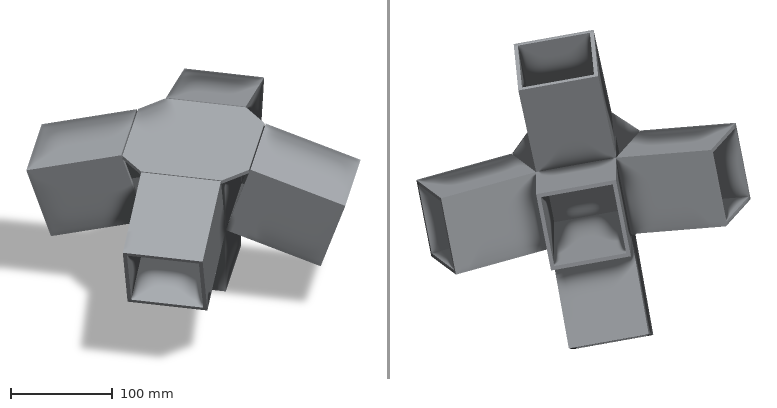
import cadquery as cq
import math

overall_height = 150.0
tube_side = 80.0
wall = 4.0
plate_thickness = 4.0
plate_width = 147.0
arm_length = 100.0
arm_droop = 18
first_arm_angle = 45
arm_count = 4

droop = math.radians(arm_droop)
post_bottom = -overall_height
post_height = overall_height - plate_thickness
arm_top_radius = tube_side / 2 + tube_side * math.sin(droop)
plate_edge_radius = arm_top_radius - plate_thickness * math.tan(droop)


def square_tube(length):
    """Square tube along +Z, standing on Z = 0."""
    bore = tube_side - 2 * wall
    return cq.Workplane("XY").rect(tube_side, tube_side).rect(bore, bore).extrude(length)


def make_post():
    """Vertical tube under the plate, with one flat face toward each arm."""
    return (
        square_tube(post_height)
        .rotate((0, 0, 0), (0, 0, 1), first_arm_angle)
        .translate((0, 0, post_bottom))
    )


def make_arm(angle):
    """Drooping tube whose lower inner edge rests on a face of the post."""
    tube = square_tube(arm_length).rotate((0, 0, 0), (0, 1, 0), 90)
    top_edge_at_origin = tube.translate((0, 0, -tube_side / 2))
    return (
        top_edge_at_origin
        .rotate((0, 0, 0), (0, 1, 0), arm_droop)
        .translate((arm_top_radius, 0, 0))
        .rotate((0, 0, 0), (0, 0, 1), angle)
    )


def make_plate():
    """Square plate with its four corners cut off by the arms."""
    cut_square = 2 * plate_edge_radius
    corner_limit = (
        cq.Workplane("XY")
        .rect(cut_square, cut_square)
        .extrude(-plate_thickness)
        .rotate((0, 0, 0), (0, 0, 1), first_arm_angle)
    )
    square = cq.Workplane("XY").rect(plate_width, plate_width).extrude(-plate_thickness)
    return square.intersect(corner_limit)


post = make_post()
plate = make_plate()
arms = [make_arm(first_arm_angle + i * 360 / arm_count) for i in range(arm_count)]

result = cq.Compound.makeCompound([post.val(), plate.val(), *[arm.val() for arm in arms]])